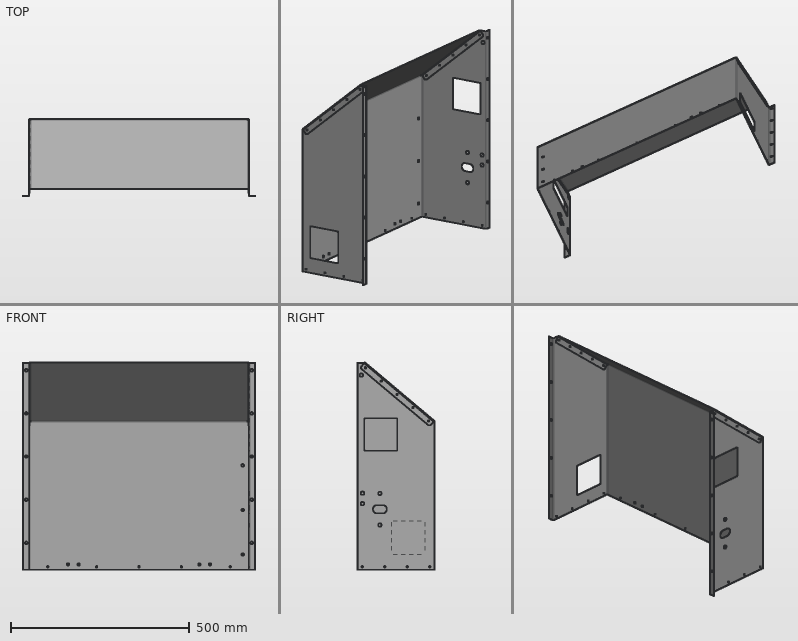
import cadquery as cq
import math


overall_width = 650.0
depth = 216.5
height = 581.0
sheet = 1.5
bend_inner = 1.5
body_width = 617.0
back_height = 416.5
roof_front = 21.0
wall_height = 580.0

bend_outer = bend_inner + sheet
wall_outer = body_width / 2
wall_inner = wall_outer - sheet
slope = math.atan2(height - back_height, depth - roof_front)
roof_length = math.hypot(height - back_height, depth - roof_front)

tab_depth = 20.0
tab_corner = 5.0
tab_setback = 1.0
tab_hole_inset = 10.5
tab_hole_start = 13.0
tab_hole_pitch = 58.0
tab_hole_count = 5

rivet_diameter = 3.0
rivet_z = 8.5
back_rivet_x = (-255.5, -119.0, 0, 119.0, 255.5)
wall_rivet_y = 13.5
wall_rivet_pitch = 63.0
wall_rivet_count = 4

flange_hole_x = 316.0
flange_hole_z = 75.5
flange_hole_pitch = 121.0
flange_hole_count = 5
flange_hole_diameter = 6.5

bracket_hole_x = (169.0, 199.0)
bracket_hole_z = 15.0
bracket_hole_diameter = 6.0
cable_hole_x = 290.5
cable_hole_z = 43.0
cable_hole_pitch = 125.0
cable_hole_count = 3
cable_hole_diameter = 6.5

window_corner = 3.0
left_window = 93.5
left_window_y = 142.5
left_window_z = 90.5
right_window = 92.0
right_window_y = 65.5
right_window_z = 379.0

port_y = 63.0
port_z = 169.5
port_length = 39.0
port_height = 23.5
port_bolt_offset = 44.0
side_hole_diameter = 10.0
side_hole_places = ((14.0, 185.0), (14.0, 214.5), (11.0, 545.5))

drill_length = 15.5


def side_plane(x):
    """Workplane whose local axes are Y and Z and whose normal is +X."""
    return cq.Workplane("YZ", origin=(x, 0, 0))


def roof_point(along, inward):
    """(Y, Z) of a point measured up the roof from its rear end, and inward from its outer face."""
    y = depth - along * math.cos(slope) - inward * math.sin(slope)
    z = back_height + along * math.sin(slope) - inward * math.cos(slope)
    return y, z


def drill_y(places, diameter, y):
    """Cylinders along Y through a sheet at the given Y, at (X, Z) places."""
    start = cq.Workplane("XZ", origin=(0, y + drill_length / 2, 0))
    return start.pushPoints(places).circle(diameter / 2).extrude(drill_length)


def drill_x(places, diameter, x):
    """Cylinders along X through a side wall at the given X, at (Y, Z) places."""
    return side_plane(x - drill_length / 2).pushPoints(places).circle(diameter / 2).extrude(drill_length)


def window(x, y, z, size):
    """Rounded square cutter through a side wall at the given X, centred on (Y, Z)."""
    block = side_plane(x - drill_length / 2).center(y, z).rect(size, size).extrude(drill_length)
    return block.edges("|X").fillet(window_corner)


def make_wrapper():
    """Back panel, side walls and outward flanges bent from one sheet, trimmed below the roof."""
    half = overall_width / 2
    right_half = (
        cq.Workplane("XY")
        .moveTo(0, depth)
        .lineTo(wall_outer - bend_outer, depth)
        .radiusArc((wall_outer, depth - bend_outer), bend_outer)
        .lineTo(wall_outer, bend_outer)
        .radiusArc((wall_outer + bend_inner, sheet), -bend_inner)
        .lineTo(half, sheet)
        .lineTo(half, 0)
        .lineTo(wall_inner + bend_outer, 0)
        .radiusArc((wall_inner, bend_outer), bend_outer)
        .lineTo(wall_inner, depth - bend_outer)
        .radiusArc((wall_inner - bend_inner, depth - sheet), -bend_inner)
        .lineTo(0, depth - sheet)
        .close()
        .extrude(wall_height)
    )
    above_roof = [roof_point(-depth, sheet), roof_point(2 * roof_length, sheet), (2 * depth, 2 * height)]
    trim = side_plane(-half).polyline(above_roof).close().extrude(overall_width)
    return right_half.union(right_half.mirror("YZ")).cut(trim)


def make_roof_bend():
    """Strip of sheet that runs up the back and bends over into the roof."""
    reach = 2 * bend_outer
    half = wall_inner - bend_outer
    low = back_height - reach
    inner_corner = (depth - sheet, back_height - sheet * math.tan(math.pi / 4 - slope / 2))
    strip = (
        side_plane(-half)
        .polyline([
            (depth, low), (depth, back_height), roof_point(reach, 0),
            roof_point(reach, sheet), inner_corner, (depth - sheet, low),
        ])
        .close()
        .extrude(2 * half)
    )
    outer_edge = cq.selectors.NearestToPointSelector((0, depth, back_height))
    inner_edge = cq.selectors.NearestToPointSelector((0, *inner_corner))
    strip = strip.edges("|X").edges(outer_edge).fillet(bend_outer)
    return strip.edges("|X").edges(inner_edge).fillet(bend_inner)


def make_roof():
    """Sloped roof with a tab folded down along each side."""
    up_slope = cq.Plane(
        origin=(0, *roof_point(tab_setback, 0)),
        xDir=(1, 0, 0),
        normal=(0, -math.cos(slope), math.sin(slope)),
    )
    right_half = (
        cq.Workplane(up_slope)
        .lineTo(wall_inner - bend_outer, 0)
        .radiusArc((wall_inner, -bend_outer), bend_outer)
        .lineTo(wall_inner, -tab_depth)
        .lineTo(wall_inner - sheet, -tab_depth)
        .lineTo(wall_inner - sheet, -bend_outer)
        .radiusArc((wall_inner - bend_outer, -sheet), -bend_inner)
        .lineTo(0, -sheet)
        .close()
        .extrude(roof_length - tab_setback)
    )
    for along in (tab_setback, roof_length):
        tab_end = cq.selectors.NearestToPointSelector((wall_inner - sheet / 2, *roof_point(along, tab_depth)))
        right_half = right_half.edges("|X").edges(tab_end).fillet(tab_corner)
    return right_half.union(right_half.mirror("YZ"))


def flange_holes():
    """Matching rows of fixing holes in both mounting flanges."""
    rows = [flange_hole_z + i * flange_hole_pitch for i in range(flange_hole_count)]
    return drill_y([(side * flange_hole_x, z) for side in (-1, 1) for z in rows], flange_hole_diameter, 0)


def back_holes():
    """Rivet row, bracket holes and the column of cable holes in the back panel."""
    rivets = [(x, rivet_z) for x in back_rivet_x]
    brackets = [(side * x, bracket_hole_z) for side in (-1, 1) for x in bracket_hole_x]
    cables = [(cable_hole_x, cable_hole_z + i * cable_hole_pitch) for i in range(cable_hole_count)]
    return (
        drill_y(rivets, rivet_diameter, depth)
        .union(drill_y(brackets, bracket_hole_diameter, depth))
        .union(drill_y(cables, cable_hole_diameter, depth))
    )


def side_rivet_holes(x):
    """Rivet holes along the foot of one side wall and through its roof tab."""
    foot = [(wall_rivet_y + i * wall_rivet_pitch, rivet_z) for i in range(wall_rivet_count)]
    tab = [roof_point(tab_hole_start + i * tab_hole_pitch, tab_hole_inset) for i in range(tab_hole_count)]
    return drill_x(foot + tab, rivet_diameter, x)


def right_wall_openings():
    """Window, slotted port with its two bolt holes, and the small front holes."""
    bolts = [(port_y, port_z + side * port_bolt_offset) for side in (-1, 1)]
    port = (
        side_plane(wall_outer - drill_length / 2)
        .center(port_y, port_z)
        .slot2D(port_length, port_height)
        .extrude(drill_length)
    )
    return (
        window(wall_outer, right_window_y, right_window_z, right_window)
        .union(port)
        .union(drill_x(bolts + list(side_hole_places), side_hole_diameter, wall_outer))
    )


result = (
    make_wrapper()
    .union(make_roof_bend())
    .union(make_roof())
    .cut(flange_holes())
    .cut(back_holes())
    .cut(side_rivet_holes(-wall_outer))
    .cut(side_rivet_holes(wall_outer))
    .cut(window(-wall_outer, left_window_y, left_window_z, left_window))
    .cut(right_wall_openings())
)